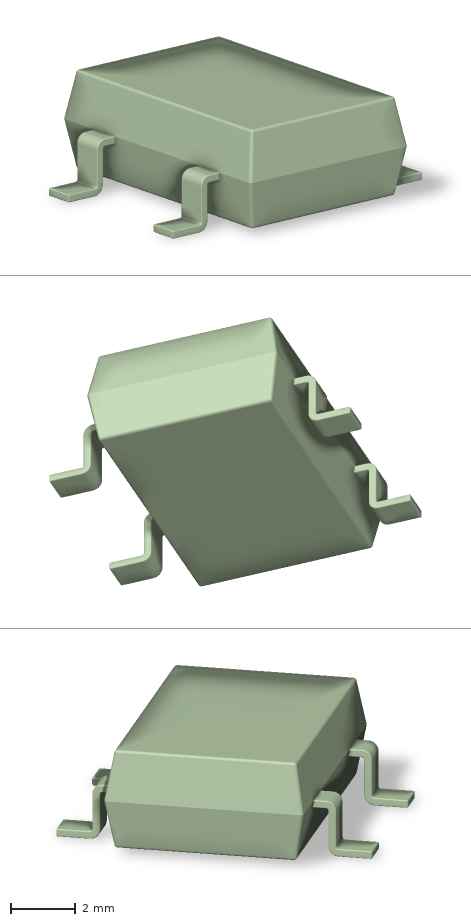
import cadquery as cq
import math

HOUSING_LENGTH = 9.15
HOUSING_WIDTH = 6.34
HOUSING_HEIGHT = 3.2
STANDOFF = 0.2
DRAFT_ANGLE = 10.0
HOUSING_ROUND = 0.1

LEAD_SPAN = 10.05
LEAD_PITCH = 5.09
LEAD_WIDTH = 0.99
LEAD_THICKNESS = 0.25
LEAD_EDGE_ROUND = 0.04
SHANK_OUTER_Y = 3.88
INNER_BEND = 0.07

HALF_HEIGHT = HOUSING_HEIGHT / 2
PARTING_Z = STANDOFF + HALF_HEIGHT
MID_BEND = INNER_BEND + LEAD_THICKNESS / 2


def make_housing_half(direction):
    """Drafted half of the housing, rising (+1) or falling (-1) from the parting plane."""
    shrink = 2 * HALF_HEIGHT * math.tan(math.radians(DRAFT_ANGLE))
    parting_face = "<Z" if direction > 0 else ">Z"
    return (
        cq.Workplane("XY")
        .workplane(offset=PARTING_Z)
        .rect(HOUSING_LENGTH, HOUSING_WIDTH)
        .workplane(offset=direction * HALF_HEIGHT)
        .rect(HOUSING_LENGTH - shrink, HOUSING_WIDTH - shrink)
        .loft(ruled=True)
        .edges(f"not({parting_face})")
        .fillet(HOUSING_ROUND)
    )


def make_housing():
    """Upper and lower halves joined into one solid at the parting plane."""
    return make_housing_half(1).union(make_housing_half(-1))


def make_lead(x, housing):
    """Lead on the +Y side: a rounded strip bent down to a foot, ending against the housing wall."""
    top_z = PARTING_Z - LEAD_THICKNESS / 2
    foot_z = LEAD_THICKNESS / 2
    shank_y = SHANK_OUTER_Y - LEAD_THICKNESS / 2
    start_y = HOUSING_WIDTH / 2 - LEAD_THICKNESS
    tip_y = LEAD_SPAN / 2
    path = (
        cq.Workplane("YZ", origin=(x, 0, 0))
        .moveTo(start_y, top_z)
        .lineTo(shank_y - MID_BEND, top_z)
        .radiusArc((shank_y, top_z - MID_BEND), MID_BEND)
        .lineTo(shank_y, foot_z + MID_BEND)
        .radiusArc((shank_y + MID_BEND, foot_z), -MID_BEND)
        .lineTo(tip_y, foot_z)
    )
    strip = (
        cq.Workplane("XZ", origin=(x, start_y, top_z))
        .rect(LEAD_WIDTH, LEAD_THICKNESS)
        .sweep(path)
    )
    exposed_edges = strip.faces("<X or >X or >Y").edges("not(<Y)")
    return exposed_edges.fillet(LEAD_EDGE_ROUND).cut(housing)


housing = make_housing()

leads = []
for x in (-LEAD_PITCH / 2, LEAD_PITCH / 2):
    lead = make_lead(x, housing)
    leads.append(lead.val())
    leads.append(lead.mirror("XZ").val())

result = cq.Compound.makeCompound([housing.val(), *leads])